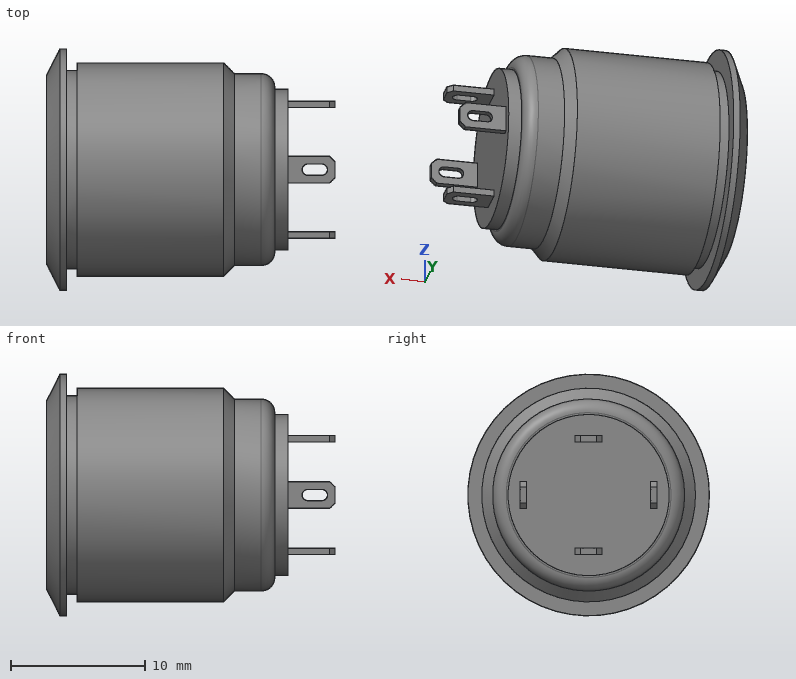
import cadquery as cq


flange_diameter = 18.0
front_face_diameter = 14.0
flange_bevel_length = 1.0
flange_rim_length = 0.5

neck_diameter = 14.8
neck_length = 0.8
body_diameter = 15.9
body_length = 10.9
taper_length = 0.8

sleeve_diameter = 14.3
sleeve_length = 3.0
sleeve_fillet = 1.0
base_diameter = 12.0
base_length = 0.99

overall_length = 21.5
terminal_width = 2.0
terminal_thickness = 0.5
terminal_corner = 0.4
terminal_offset_y = 4.85
terminal_offset_z = 4.2
slot_length = 1.87
slot_width = 0.82
slot_end_gap = 0.58

bevel_end = flange_bevel_length
flange_end = bevel_end + flange_rim_length
neck_end = flange_end + neck_length
body_end = neck_end + body_length
taper_end = body_end + taper_length
sleeve_end = taper_end + sleeve_length
base_end = sleeve_end + base_length


def cylinder(start, end, diameter):
    """Solid cylinder along X between two stations."""
    return cq.Workplane("YZ", origin=(start, 0, 0)).circle(diameter / 2).extrude(end - start)


def cone(start, end, start_diameter, end_diameter):
    """Solid frustum along X between two stations."""
    return (
        cq.Workplane("YZ", origin=(start, 0, 0))
        .circle(start_diameter / 2)
        .workplane(offset=end - start)
        .circle(end_diameter / 2)
        .loft(ruled=True)
    )


def make_housing():
    """Stack the round sections from the flange to the terminal base."""
    sleeve = cylinder(taper_end, sleeve_end, sleeve_diameter).faces(">X").edges().fillet(sleeve_fillet)
    return (
        cone(0, bevel_end, front_face_diameter, flange_diameter)
        .union(cylinder(bevel_end, flange_end, flange_diameter))
        .union(cylinder(flange_end, neck_end, neck_diameter))
        .union(cylinder(neck_end, body_end, body_diameter))
        .union(cone(body_end, taper_end, body_diameter, sleeve_diameter))
        .union(sleeve)
        .union(cylinder(sleeve_end, base_end, base_diameter))
    )


def make_terminal():
    """Flat terminal lying in the XY plane on the axis, with clipped tip corners and a wire slot."""
    length = overall_length - base_end
    slot_center = overall_length - slot_end_gap - slot_length / 2
    blade = (
        cq.Workplane("XY")
        .box(length, terminal_width, terminal_thickness, centered=(False, True, True))
        .translate((base_end, 0, 0))
        .edges(">X and |Z")
        .chamfer(terminal_corner)
    )
    slot = (
        cq.Workplane("XY")
        .center(slot_center, 0)
        .slot2D(slot_length, slot_width)
        .extrude(terminal_thickness, both=True)
    )
    return blade.cut(slot)


flat_terminal = make_terminal()
upright_terminal = flat_terminal.rotate((0, 0, 0), (1, 0, 0), 90)

result = make_housing()
for side in (-1, 1):
    result = result.union(flat_terminal.translate((0, 0, side * terminal_offset_z)))
    result = result.union(upright_terminal.translate((0, side * terminal_offset_y, 0)))